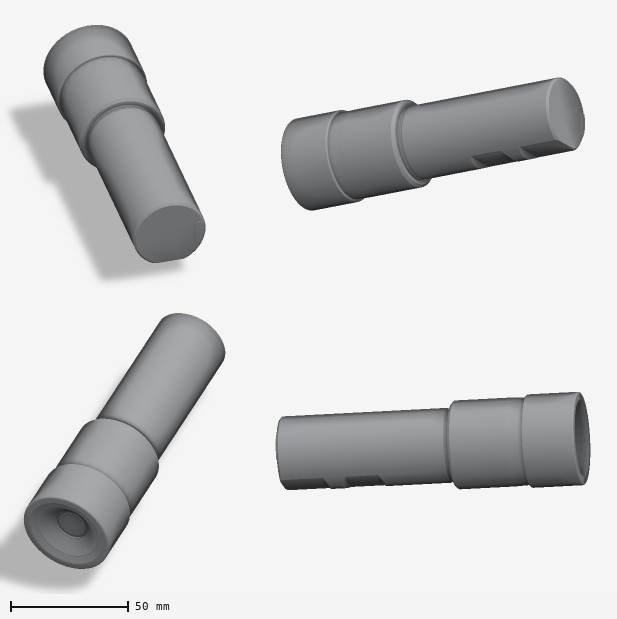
import cadquery as cq

overall_length = 130.0
cap_length = 22.9
neck_end = 29.5
collar_end = 55.2
groove_start = 56.3
groove_end = 57.7
pad_height = 0.3
shank_end = overall_length - pad_height

cap_diameter = 39.9
neck_diameter = 37.5
collar_diameter = 38.0
shank_diameter = 32.0
groove_diameter = 31.5

cap_rounding = 0.8
collar_chamfer = 1.2
shank_chamfer = 0.9
groove_flank = 0.4

opening_diameter = 33.5
opening_inner_diameter = 27.8
opening_depth = 1.5
spigot_diameter = 33.5

reflector_diameter = 27.3
reflector_floor_diameter = 15.2
reflector_depth = 4.4
lens_seat_diameter = 14.8
lens_seat_depth = 0.6
lens_diameter = 12.2
lens_height = 0.4

flat_depth = 2.1
flat_z = flat_depth - shank_diameter / 2
first_flat_start = 87.0
first_flat_end = 101.4
second_flat_start = 110.9

pad_inner_y = 11.7
pad_bottom_z = -6.1
pad_top_z = 4.3


def revolve_about_x(outline):
    """Revolve a closed (x, radius) outline a full turn about the X axis."""
    return cq.Workplane("XY").polyline(outline).close().revolve(360, (0, 0, 0), (1, 0, 0))


def make_cap():
    cap_radius = cap_diameter / 2
    bore_radius = spigot_diameter / 2
    blank = revolve_about_x([
        (0, opening_diameter / 2),
        (0, cap_radius),
        (cap_length, cap_radius),
        (cap_length, bore_radius),
        (opening_depth, bore_radius),
        (opening_depth, opening_inner_diameter / 2),
    ])
    rims = blank.edges(cq.selectors.RadiusNthSelector(-1))
    return rims.fillet(cap_rounding)


def make_turned_body():
    spigot_radius = spigot_diameter / 2
    collar_radius = collar_diameter / 2
    shank_radius = shank_diameter / 2
    groove_radius = groove_diameter / 2
    reflector_floor = opening_depth + reflector_depth
    seat_floor = reflector_floor + lens_seat_depth
    lens_face = seat_floor - lens_height
    return revolve_about_x([
        (lens_face, 0),
        (lens_face, lens_diameter / 2),
        (seat_floor, lens_diameter / 2),
        (seat_floor, lens_seat_diameter / 2),
        (reflector_floor, lens_seat_diameter / 2),
        (reflector_floor, reflector_floor_diameter / 2),
        (opening_depth, reflector_diameter / 2),
        (opening_depth, spigot_radius),
        (cap_length, spigot_radius),
        (cap_length, neck_diameter / 2),
        (neck_end, collar_radius),
        (collar_end - collar_chamfer, collar_radius),
        (collar_end, collar_radius - collar_chamfer),
        (collar_end, shank_radius),
        (groove_start, shank_radius),
        (groove_start, groove_radius),
        (groove_end - groove_flank, groove_radius),
        (groove_end, shank_radius),
        (shank_end - shank_chamfer, shank_radius),
        (shank_end, shank_radius - shank_chamfer),
        (shank_end, 0),
    ])


def make_flat_cutter(start, end, end_slope):
    """Prism below the flat whose start, and optionally end, slopes outward at 45 degrees."""
    bottom_z = flat_z - flat_depth
    outline = [
        (start, flat_z),
        (end, flat_z),
        (end + end_slope, bottom_z),
        (start - flat_depth, bottom_z),
    ]
    return cq.Workplane("XZ").polyline(outline).close().extrude(shank_diameter / 2, both=True)


def make_rear_pad():
    rim_radius = shank_diameter / 2 - shank_chamfer
    disc = cq.Workplane("YZ", origin=(shank_end, 0, 0)).circle(rim_radius).extrude(pad_height)
    block = cq.Workplane("XY").box(
        pad_height, rim_radius - pad_inner_y, pad_top_z - pad_bottom_z, centered=False
    ).translate((shank_end, pad_inner_y, pad_bottom_z))
    return disc.intersect(block)


def make_body():
    first_flat = make_flat_cutter(first_flat_start, first_flat_end, flat_depth)
    second_flat = make_flat_cutter(second_flat_start, overall_length, 0)
    return make_turned_body().cut(first_flat).cut(second_flat).union(make_rear_pad())


cap = make_cap()
body = make_body()
result = cq.Compound.makeCompound([cap.val(), body.val()])